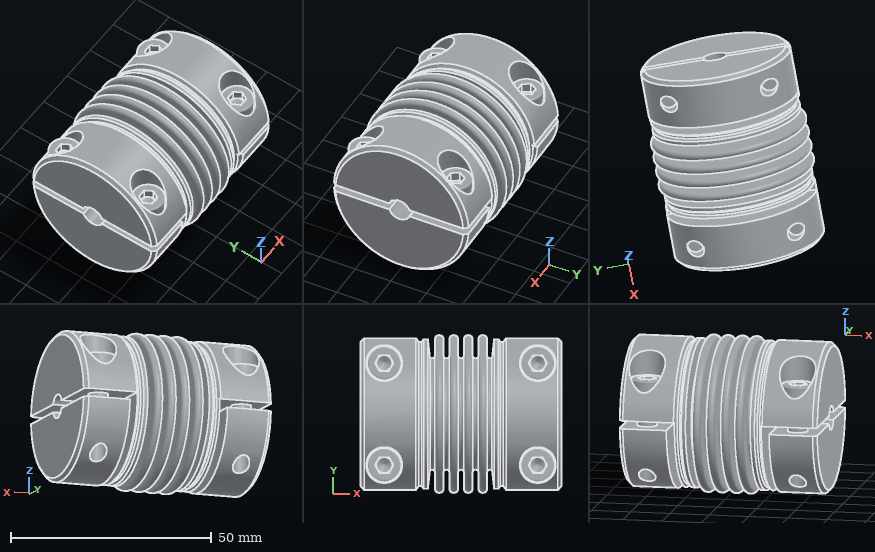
import cadquery as cq
import math

length = 50.35
hub_diameter = 38.0
bore_diameter = 6.0
end_chamfer = 1.0

hub_rim_x = 11.25
groove_outer_x = 10.5
groove_inner_x = 9.85
ring_edge_x = 9.3
ring_face_x = 8.25
ring_inner_x = 7.7
groove_diameter = 36.05
ring_diameter = 37.5

bellows_diameter = 39.5
root_diameter = 27.9
crest_count = 4
pitch = 3.6
crest_radius = 1.1
root_radius = pitch / 2 - crest_radius

slot_width = 2.0
slot_inner_x = 11.05

screw_x = length / 2 - 6.0
screw_y = 12.75
shank_diameter = 5.0
shank_length = 16.0
head_diameter = 8.5
head_height = 5.0
head_fillet = 0.5
head_seat_z = 6.0
counterbore_diameter = 9.0
tapped_hole_diameter = 4.2
hex_across_flats = 4.0
hex_depth = 2.5
drill_point_angle = 118.0


def make_hub():
    """Left hub with its end ring, revolved about X; the bore comes later."""
    hub_radius = hub_diameter / 2
    groove_radius = groove_diameter / 2
    ring_radius = ring_diameter / 2
    profile = [
        (-length / 2, 0),
        (-length / 2, hub_radius - end_chamfer),
        (-length / 2 + end_chamfer, hub_radius),
        (-hub_rim_x, hub_radius),
        (-groove_outer_x, groove_radius),
        (-groove_inner_x, groove_radius),
        (-ring_edge_x, ring_radius),
        (-ring_face_x, ring_radius),
        (-ring_inner_x, root_diameter / 2),
        (-ring_inner_x, 0),
    ]
    return cq.Workplane("XY").polyline(profile).close().revolve(360, (0, 0), (1, 0))


def cut_slots(hub):
    """Cut the level slit and the upright slit that separate the lower clamp half."""
    slit_length = length / 2 - slot_inner_x
    slit = cq.Workplane("XY").box(slit_length, hub_diameter, slot_width)
    slit = slit.translate((-length / 2 + slit_length / 2, 0, 0))
    drop = cq.Workplane("XY").box(slot_width, hub_diameter, hub_diameter / 2)
    drop = drop.translate((-slot_inner_x - slot_width / 2, 0, -hub_diameter / 4))
    return hub.cut(slit).cut(drop)


def cylinder_z(diameter, bottom_z, height):
    return cq.Workplane("XY").workplane(offset=bottom_z).circle(diameter / 2).extrude(height)


def make_screw():
    """Socket head screw on the Z axis, with a drill point below the hexagon."""
    head_top = head_seat_z + head_height
    hex_corner_diameter = hex_across_flats / math.cos(math.pi / 6)
    point_radius = hex_across_flats / 2
    point_depth = point_radius / math.tan(math.radians(drill_point_angle / 2))
    hex_floor = head_top - hex_depth

    head = cylinder_z(head_diameter, head_seat_z, head_height).faces(">Z").fillet(head_fillet)
    shank = cylinder_z(shank_diameter, head_seat_z - shank_length, shank_length)
    socket = cq.Workplane("XY").workplane(offset=hex_floor)
    socket = socket.polygon(6, hex_corner_diameter).extrude(hex_depth)
    point = cq.Workplane(
        cq.Solid.makeCone(point_radius, 0, point_depth, cq.Vector(0, 0, hex_floor), cq.Vector(0, 0, -1))
    )
    return head.union(shank).cut(socket).cut(point)


def add_screws(hub):
    """Counterbore and tap the hub for its two screws, then set the screws in place."""
    counterbore = cylinder_z(counterbore_diameter, head_seat_z, hub_diameter / 2)
    tapped_hole = cylinder_z(tapped_hole_diameter, -hub_diameter / 2, hub_diameter / 2)
    screw = make_screw()
    for y in (-screw_y, screw_y):
        place = (-screw_x, y, 0)
        hub = hub.cut(counterbore.translate(place)).cut(tapped_hole.translate(place))
        hub = hub.union(screw.translate(place))
    return hub


def make_bellows():
    """Corrugated tube revolved about X, running from root to root."""
    root_low = root_diameter / 2
    root_top = root_low + root_radius
    crest_high = bellows_diameter / 2
    crest_base = crest_high - crest_radius
    start_x = -(crest_count / 2) * pitch
    end_x = -start_x

    outline = cq.Workplane("XY").moveTo(start_x - root_radius, 0).lineTo(start_x - root_radius, root_top)
    for index in range(crest_count):
        root_x = start_x + index * pitch
        crest_x = root_x + pitch / 2
        outline = outline.threePointArc((root_x, root_low), (root_x + root_radius, root_top))
        outline = outline.lineTo(crest_x - crest_radius, crest_base)
        outline = outline.threePointArc((crest_x, crest_high), (crest_x + crest_radius, crest_base))
        outline = outline.lineTo(crest_x + crest_radius, root_top)
    outline = outline.threePointArc((end_x, root_low), (end_x + root_radius, root_top))
    outline = outline.lineTo(end_x + root_radius, 0).close()
    return outline.revolve(360, (0, 0), (1, 0))


bore = cq.Workplane("YZ").circle(bore_diameter / 2).extrude(length / 2, both=True)
left_hub = add_screws(cut_slots(make_hub()))
right_hub = left_hub.mirror("YZ")
result = make_bellows().union(left_hub).union(right_hub).cut(bore)